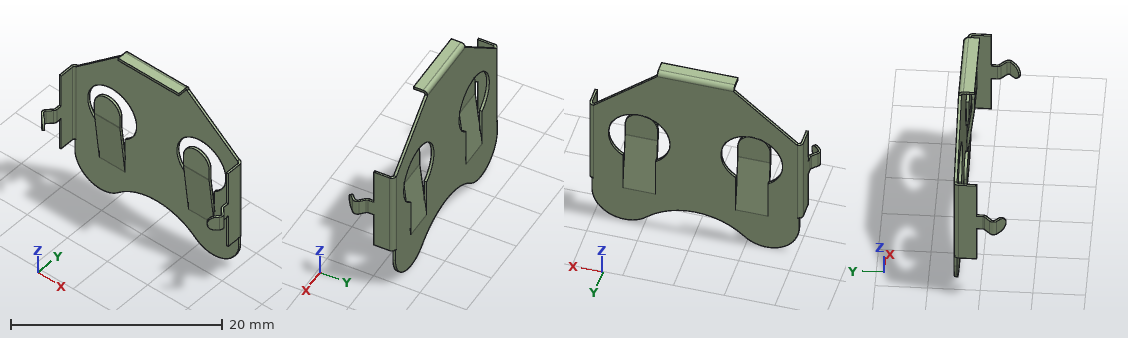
import cadquery as cq
import math


TOTAL_WIDTH = 22.48
TOTAL_HEIGHT = 19.85
TOTAL_DEPTH = 4.97

PLATE_THICKNESS = 0.3
BEND_RADIUS = 0.47

LOBE_RADIUS = 3.21
PLATE_HALF_WIDTH = 10.2
BOTTOM_ARC_TOP = -17.13

TOP_FLANGE_WIDTH = 7.55
TOP_FLANGE_DEPTH = 1.5

SIDE_THICKNESS = 0.22
SIDE_FLANGE_X = 10.52
SIDE_FLANGE_DEPTH = 2.18
SIDE_FLANGE_TOP = -5.82
SIDE_FLANGE_BOTTOM = -15.29

TAB_WIDTH = 1.65
TAB_Z = (SIDE_FLANGE_TOP + SIDE_FLANGE_BOTTOM) / 2
TAB_KINK_Y = -2.88

TONGUE_X = 5.55
TONGUE_WIDTH = 3.2
TONGUE_TOP = -6.59
TONGUE_KINK_Z = -9.53
TONGUE_KINK_RADIUS = 0.5
TONGUE_ROOT_Z = -15.78
TONGUE_OFFSET = 0.75
HOLE_RADIUS = 3.03
HOLE_Z = -9.0


def round_edge(body, direction, point, radius):
    """Fillet the edge along the given direction that lies nearest to the point."""
    nearest = cq.selectors.NearestToPointSelector(point)
    return body.edges(direction).edges(nearest).fillet(radius)


def make_plate():
    """Flat plate with sloped shoulders, two bottom lobes and a concave arc between them."""
    top_half = TOP_FLANGE_WIDTH / 2
    flange_root_x = SIDE_FLANGE_X - BEND_RADIUS
    lobe_x = PLATE_HALF_WIDTH - LOBE_RADIUS
    lobe_z = -TOTAL_HEIGHT + LOBE_RADIUS

    drop = lobe_z - BOTTOM_ARC_TOP
    arc_radius = (lobe_x**2 + drop**2 - LOBE_RADIUS**2) / (2 * (LOBE_RADIUS - drop))
    arc_center_z = BOTTOM_ARC_TOP - arc_radius
    join_angle = math.atan2(arc_center_z - lobe_z, -lobe_x)
    join_x = lobe_x + LOBE_RADIUS * math.cos(join_angle)
    join_z = lobe_z + LOBE_RADIUS * math.sin(join_angle)
    lobe_bottom = -TOTAL_HEIGHT

    return (
        cq.Workplane("XZ")
        .moveTo(-top_half, -BEND_RADIUS)
        .lineTo(top_half, -BEND_RADIUS)
        .lineTo(flange_root_x, SIDE_FLANGE_TOP)
        .lineTo(flange_root_x, SIDE_FLANGE_BOTTOM)
        .lineTo(PLATE_HALF_WIDTH, SIDE_FLANGE_BOTTOM)
        .lineTo(PLATE_HALF_WIDTH, lobe_z)
        .threePointArc((lobe_x, lobe_bottom), (join_x, join_z))
        .threePointArc((0, BOTTOM_ARC_TOP), (-join_x, join_z))
        .threePointArc((-lobe_x, lobe_bottom), (-PLATE_HALF_WIDTH, lobe_z))
        .lineTo(-PLATE_HALF_WIDTH, SIDE_FLANGE_BOTTOM)
        .lineTo(-flange_root_x, SIDE_FLANGE_BOTTOM)
        .lineTo(-flange_root_x, SIDE_FLANGE_TOP)
        .close()
        .extrude(PLATE_THICKNESS)
    )


def make_flange(plane, depth, thickness, length):
    """Bend and straight leg. Local x points from the outer face to the plate, local y to the front."""
    inner_radius = BEND_RADIUS - thickness
    inner_center_y = PLATE_THICKNESS + inner_radius
    return (
        cq.Workplane(plane)
        .moveTo(BEND_RADIUS, 0)
        .radiusArc((0, BEND_RADIUS), BEND_RADIUS)
        .lineTo(0, depth)
        .lineTo(thickness, depth)
        .lineTo(thickness, inner_center_y)
        .radiusArc((BEND_RADIUS, PLATE_THICKNESS), -inner_radius)
        .close()
        .extrude(length)
    )


def make_top_flange():
    plane = cq.Plane(origin=(TOP_FLANGE_WIDTH / 2, 0, 0), xDir=(0, 0, -1), normal=(-1, 0, 0))
    return make_flange(plane, TOP_FLANGE_DEPTH, PLATE_THICKNESS, TOP_FLANGE_WIDTH)


def make_left_flange():
    plane = cq.Plane(origin=(-SIDE_FLANGE_X, 0, SIDE_FLANGE_TOP), xDir=(1, 0, 0), normal=(0, 0, -1))
    length = SIDE_FLANGE_TOP - SIDE_FLANGE_BOTTOM
    return make_flange(plane, SIDE_FLANGE_DEPTH, SIDE_THICKNESS, length)


def make_left_tab():
    """Strip that kinks 45 degrees outward, turns back 90 degrees and ends in a full round."""
    inner_radius = BEND_RADIUS - SIDE_THICKNESS
    outer_x = -SIDE_FLANGE_X
    inner_x = outer_x + SIDE_THICKNESS
    kink_shift = SIDE_THICKNESS * math.tan(math.pi / 8)
    miter = SIDE_THICKNESS * math.sqrt(2)

    apex_x = -TOTAL_WIDTH / 2 - BEND_RADIUS * (math.sqrt(2) - 1)
    apex_y = TAB_KINK_Y - (outer_x - apex_x)
    tip_y = -TOTAL_DEPTH
    tip_x = apex_x + (apex_y - tip_y)
    tip_step = SIDE_THICKNESS / math.sqrt(2)

    strip = (
        cq.Workplane("XY", origin=(0, 0, TAB_Z - TAB_WIDTH / 2))
        .moveTo(outer_x, -SIDE_FLANGE_DEPTH)
        .lineTo(outer_x, TAB_KINK_Y)
        .lineTo(apex_x, apex_y)
        .lineTo(tip_x, tip_y)
        .lineTo(tip_x + tip_step, tip_y + tip_step)
        .lineTo(apex_x + miter, apex_y)
        .lineTo(inner_x, TAB_KINK_Y - kink_shift)
        .lineTo(inner_x, -SIDE_FLANGE_DEPTH)
        .close()
        .extrude(TAB_WIDTH)
    )

    strip = round_edge(strip, "|Z", (outer_x, TAB_KINK_Y, TAB_Z), inner_radius)
    strip = round_edge(strip, "|Z", (inner_x, TAB_KINK_Y - kink_shift, TAB_Z), BEND_RADIUS)
    strip = round_edge(strip, "|Z", (apex_x, apex_y, TAB_Z), BEND_RADIUS)
    strip = round_edge(strip, "|Z", (apex_x + miter, apex_y, TAB_Z), inner_radius)

    tip_plane = cq.Plane(origin=(tip_x, tip_y, TAB_Z), xDir=(1, -1, 0), normal=(1, 1, 0))
    round_end = TAB_WIDTH / 2
    envelope = (
        cq.Workplane(tip_plane)
        .moveTo(-TOTAL_DEPTH, -round_end)
        .lineTo(-round_end, -round_end)
        .threePointArc((0, 0), (-round_end, round_end))
        .lineTo(-TOTAL_DEPTH, round_end)
        .close()
        .extrude(TOTAL_DEPTH, both=True)
    )
    return strip.intersect(envelope)


def make_tongue_cutout(x):
    """Round hole with a slot, as wide as the tongue, running down to the tongue root."""
    hole = cq.Workplane("XZ").center(x, HOLE_Z).circle(HOLE_RADIUS).extrude(PLATE_THICKNESS)
    slot_length = HOLE_Z - TONGUE_ROOT_Z
    slot = (
        cq.Workplane("XZ")
        .center(x, HOLE_Z - slot_length / 2)
        .rect(TONGUE_WIDTH, slot_length)
        .extrude(PLATE_THICKNESS)
    )
    return hole.union(slot)


def make_tongue(x):
    """Tongue that leans forward from its root, then runs upright to a round tip."""
    half_width = TONGUE_WIDTH / 2
    front = -TONGUE_OFFSET - PLATE_THICKNESS
    strip = (
        cq.Workplane("YZ", origin=(x - half_width, 0, 0))
        .moveTo(0, TONGUE_ROOT_Z)
        .lineTo(-TONGUE_OFFSET, TONGUE_KINK_Z)
        .lineTo(-TONGUE_OFFSET, TONGUE_TOP)
        .lineTo(front, TONGUE_TOP)
        .lineTo(front, TONGUE_KINK_Z)
        .lineTo(-PLATE_THICKNESS, TONGUE_ROOT_Z)
        .close()
        .extrude(TONGUE_WIDTH)
    )
    strip = round_edge(strip, "|X", (x, front, TONGUE_KINK_Z), TONGUE_KINK_RADIUS)
    back_radius = TONGUE_KINK_RADIUS - PLATE_THICKNESS
    strip = round_edge(strip, "|X", (x, -TONGUE_OFFSET, TONGUE_KINK_Z), back_radius)

    envelope = (
        cq.Workplane("XZ")
        .moveTo(x - half_width, TONGUE_ROOT_Z)
        .lineTo(x - half_width, TONGUE_TOP - half_width)
        .threePointArc((x, TONGUE_TOP), (x + half_width, TONGUE_TOP - half_width))
        .lineTo(x + half_width, TONGUE_ROOT_Z)
        .close()
        .extrude(-front)
    )
    return strip.intersect(envelope)


left_side = make_left_flange().union(make_left_tab())
right_side = left_side.mirror("YZ")

result = make_plate().union(make_top_flange()).union(left_side).union(right_side)

for tongue_x in (-TONGUE_X, TONGUE_X):
    result = result.cut(make_tongue_cutout(tongue_x))
    result = result.union(make_tongue(tongue_x))